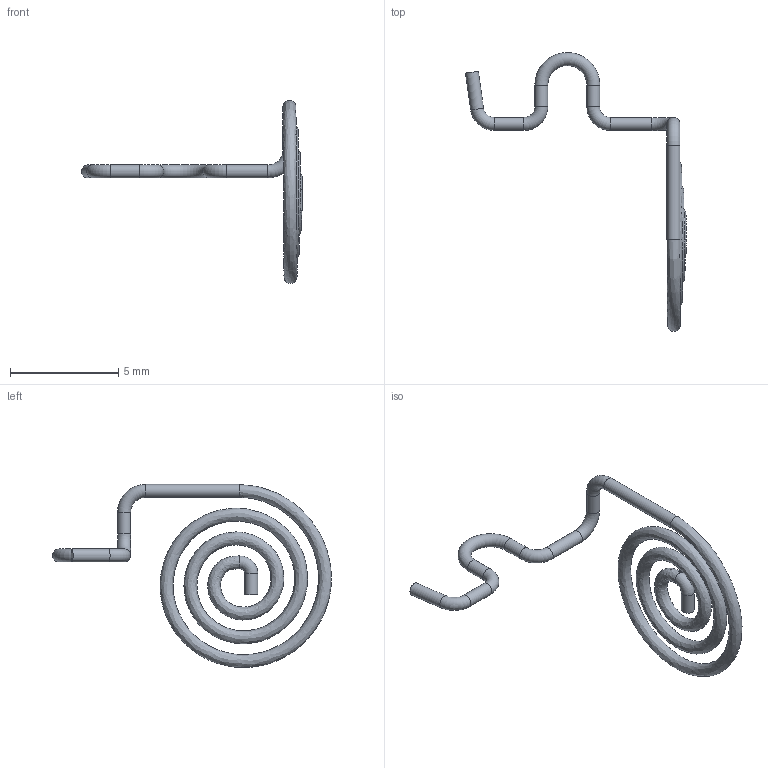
import cadquery as cq
import math


WIRE_RADIUS = 0.3

HUMP_RADIUS = 1.2
HUMP_LEG_LENGTH = 1.0
HOOK_BEND_RADIUS = 0.8
LINK_TO_HUMP_STRAIGHT = 1.9
HUMP_TO_TIP_STRAIGHT = 1.37
TIP_LENGTH = 1.72
TIP_LEAN = math.radians(8)

LINK_BEND_RADIUS = 1.0
LINK_STRAIGHT = 0.98
TOP_STRAIGHT = 4.345

COIL_OUTER_RADIUS = 4.2
COIL_PITCH = 1.1
COIL_RISE = 0.1
COIL_TURNS = 3
COIL_INNER_RADIUS = COIL_OUTER_RADIUS - COIL_PITCH * COIL_TURNS
POINTS_PER_TURN = 8
INNER_BEND_RADIUS = 0.53
INNER_TAIL_LENGTH = 0.97

RIGHT = cq.Vector(1, 0, 0)
FORWARD = cq.Vector(0, -1, 0)
BACK = cq.Vector(0, 1, 0)
UP = cq.Vector(0, 0, 1)
DOWN = cq.Vector(0, 0, -1)


class WirePath:
    """Chain of tangent centreline edges, each starting where the last one ended."""

    def __init__(self, start, heading):
        self.point = start
        self.heading = heading
        self.edges = []

    def straight(self, length):
        end = self.point + self.heading * length
        self.edges.append(cq.Edge.makeLine(self.point, end))
        self.point = end

    def bend(self, radius, toward, angle=math.pi / 2):
        """Turn from the present heading toward a direction square to it."""
        heading = self.heading
        centre = self.point + toward * radius

        def on_arc(turn):
            ahead = heading * (radius * math.sin(turn))
            return centre + ahead - toward * (radius * math.cos(turn))

        end = on_arc(angle)
        self.edges.append(cq.Edge.makeThreePointArc(self.point, on_arc(angle / 2), end))
        self.heading = heading * math.cos(angle) + toward * math.sin(angle)
        self.point = end

    def coil(self):
        """Spiral inward about an axis along X, starting and ending at the top of a turn.

        The heading is FORWARD at both ends.
        """
        centre = self.point + DOWN * COIL_OUTER_RADIUS
        points = []
        angles = []
        for step in range(COIL_TURNS * POINTS_PER_TURN + 1):
            turns = step / POINTS_PER_TURN
            angle = 2 * math.pi * turns
            radius = COIL_OUTER_RADIUS - COIL_PITCH * turns
            radial = FORWARD * math.sin(angle) + UP * math.cos(angle)
            angles.append(angle)
            points.append(centre + radial * radius + RIGHT * (COIL_RISE * turns))
        end_tangents = [FORWARD * COIL_OUTER_RADIUS, FORWARD * COIL_INNER_RADIUS]
        self.edges.append(cq.Edge.makeSpline(points, tangents=end_tangents, parameters=angles, scale=False))
        self.point = points[-1]


def add_hook(path):
    path.straight(TIP_LENGTH)
    lean_side = RIGHT * math.cos(TIP_LEAN) + BACK * math.sin(TIP_LEAN)
    path.bend(HOOK_BEND_RADIUS, lean_side, math.pi / 2 - TIP_LEAN)
    path.straight(HUMP_TO_TIP_STRAIGHT)
    path.bend(HOOK_BEND_RADIUS, BACK)
    path.straight(HUMP_LEG_LENGTH)
    path.bend(HUMP_RADIUS, RIGHT, math.pi)
    path.straight(HUMP_LEG_LENGTH)
    path.bend(HOOK_BEND_RADIUS, RIGHT)
    path.straight(LINK_TO_HUMP_STRAIGHT)


def add_link(path):
    path.bend(LINK_BEND_RADIUS, UP)
    path.straight(LINK_STRAIGHT)
    path.bend(LINK_BEND_RADIUS, FORWARD)
    path.straight(TOP_STRAIGHT)


def add_inner_tail(path):
    path.bend(INNER_BEND_RADIUS, DOWN)
    path.straight(INNER_TAIL_LENGTH)


def tip_end():
    """Free end of the hook, found by working outward from the origin."""
    hump_x = -(LINK_BEND_RADIUS + LINK_TO_HUMP_STRAIGHT + HOOK_BEND_RADIUS + HUMP_RADIUS)
    tip_bend_x = hump_x - HUMP_RADIUS - HOOK_BEND_RADIUS - HUMP_TO_TIP_STRAIGHT
    x = tip_bend_x - HOOK_BEND_RADIUS * math.cos(TIP_LEAN) - TIP_LENGTH * math.sin(TIP_LEAN)
    y = HOOK_BEND_RADIUS * (1 - math.sin(TIP_LEAN)) + TIP_LENGTH * math.cos(TIP_LEAN)
    return cq.Vector(x, y, 0)


tip_heading = RIGHT * math.sin(TIP_LEAN) + FORWARD * math.cos(TIP_LEAN)
path = WirePath(tip_end(), tip_heading)
add_hook(path)
add_link(path)
path.coil()
add_inner_tail(path)

centreline = cq.Workplane(cq.Wire.assembleEdges(path.edges))
section = cq.Workplane(cq.Plane(tip_end(), normal=tip_heading)).circle(WIRE_RADIUS)
result = section.sweep(centreline)